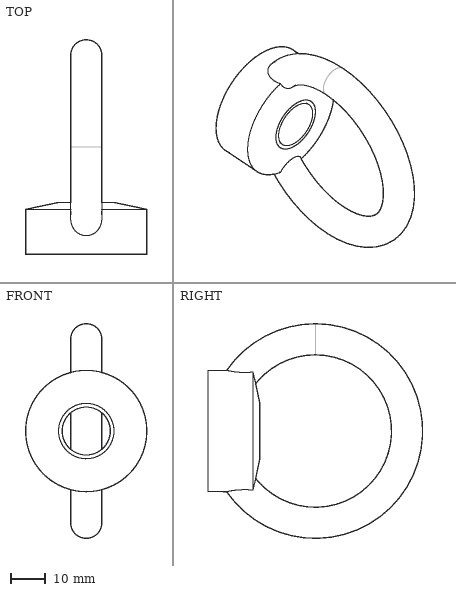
import cadquery as cq

ring_outer_diameter = 62.0
ring_wire_diameter = 9.05
ring_path_radius = (ring_outer_diameter - ring_wire_diameter) / 2

hub_diameter = 35.0
hub_rim_length = 13.0
hub_length = 15.0
hub_back_face_diameter = 16.25
hub_front_y = -ring_outer_diameter / 2

sleeve_outer_diameter = 16.0
sleeve_bore_diameter = 13.8


def y_cylinder(diameter, length):
    """Cylinder along +Y that starts at the hub's front face."""
    return cq.Workplane("XZ", origin=(0, hub_front_y, 0)).circle(diameter / 2).extrude(-length)


def make_hub_blank():
    """Solid disk with a conical back, revolved about the Y axis."""
    return (
        cq.Workplane("XY", origin=(0, hub_front_y, 0))
        .moveTo(0, 0)
        .lineTo(hub_diameter / 2, 0)
        .lineTo(hub_diameter / 2, hub_rim_length)
        .lineTo(hub_back_face_diameter / 2, hub_length)
        .lineTo(0, hub_length)
        .close()
        .revolve(360, (0, 0, 0), (0, 1, 0))
    )


def make_ring():
    """Full torus about the X axis."""
    return cq.Workplane(
        cq.Solid.makeTorus(
            ring_path_radius, ring_wire_diameter / 2, cq.Vector(0, 0, 0), cq.Vector(1, 0, 0)
        )
    )


def make_eye_nut():
    """Ring and hub in one piece, with the sleeve's hole cut through both."""
    sleeve_hole = y_cylinder(sleeve_outer_diameter, hub_length)
    return make_hub_blank().union(make_ring()).cut(sleeve_hole)


def make_sleeve():
    """Plain tube as long as the hub."""
    bore = y_cylinder(sleeve_bore_diameter, hub_length)
    return y_cylinder(sleeve_outer_diameter, hub_length).cut(bore)


eye_nut = make_eye_nut()
sleeve = make_sleeve()

result = cq.Compound.makeCompound([eye_nut.solids().val(), sleeve.solids().val()])